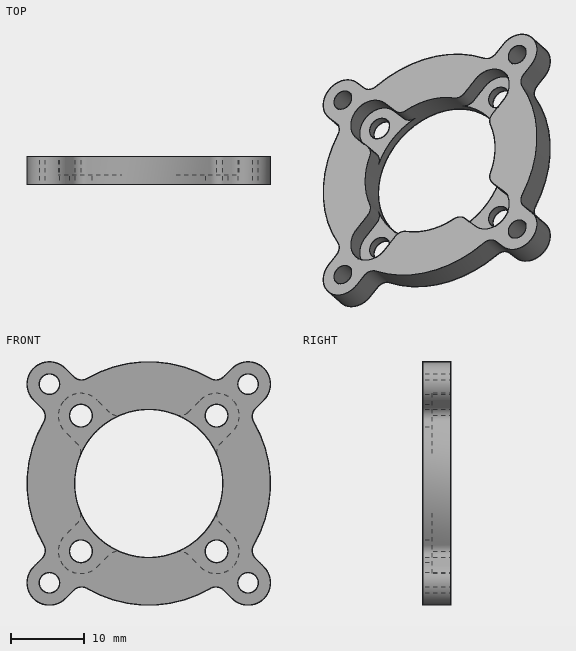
import cadquery as cq
import math

thickness = 3.81
outer_radius = 16.51
bore_radius = 10.03
lug_radius = 3.048
lug_fillet = 1.524
lug_hole_diameter = 2.74
inner_hole_diameter = 3.048
inner_hole_distance = 13.0
pocket_radius = 3.048
pocket_fillet = 1.524
web_thickness = 1.27

lug_distance = math.sqrt(2) * (outer_radius - lug_radius)
front_y = -thickness / 2
pocket_depth = thickness - web_thickness
diagonal_angles = [45, 135, 225, 315]


def extrude_from_front(profile, start, length):
    """Extrude a profile toward +Y, starting at a distance behind the front face."""
    return profile.extrude(-length).translate((0, front_y + start, 0))


def disc(radius, start, length, distance=0.0):
    """Cylinder along Y, centred on the +X axis at a distance from the bore axis."""
    return extrude_from_front(cq.Workplane("XZ").center(distance, 0).circle(radius), start, length)


def rounded_arm(arm_radius, end_distance, base_radius, fillet, start, length):
    """Round-ended arm along +X whose sides blend into a base circle with concave fillets."""
    fillet_offset = arm_radius + fillet
    fillet_distance = base_radius + fillet
    side_start = math.sqrt(fillet_distance**2 - fillet_offset**2)
    base_ratio = base_radius / fillet_distance
    base_point = (side_start * base_ratio, fillet_offset * base_ratio)
    base_end_angle = math.pi + math.atan2(fillet_offset, side_start)
    side_end_angle = 1.5 * math.pi
    middle_angle = (base_end_angle + side_end_angle) / 2
    fillet_middle = (
        side_start + fillet * math.cos(middle_angle),
        fillet_offset + fillet * math.sin(middle_angle),
    )
    profile = (
        cq.Workplane("XZ")
        .lineTo(*base_point)
        .threePointArc(fillet_middle, (side_start, arm_radius))
        .lineTo(end_distance, arm_radius)
        .threePointArc((end_distance + arm_radius, 0), (end_distance, -arm_radius))
        .lineTo(side_start, -arm_radius)
        .threePointArc((fillet_middle[0], -fillet_middle[1]), (base_point[0], -base_point[1]))
        .close()
    )
    return extrude_from_front(profile, start, length)


def on_diagonal(shape, angle):
    """Turn a shape from the +X axis onto a diagonal of the plate."""
    return shape.rotate((0, 0, 0), (0, 1, 0), angle)


lug = rounded_arm(lug_radius, lug_distance, outer_radius, lug_fillet, 0, thickness)
pocket = rounded_arm(
    pocket_radius, inner_hole_distance, bore_radius, pocket_fillet, web_thickness, pocket_depth
)
lug_hole = disc(lug_hole_diameter / 2, 0, thickness, lug_distance)
inner_hole = disc(inner_hole_diameter / 2, 0, thickness, inner_hole_distance)

result = disc(outer_radius, 0, thickness)
for angle in diagonal_angles:
    result = result.union(on_diagonal(lug, angle))

result = result.cut(disc(bore_radius, 0, thickness))
for angle in diagonal_angles:
    for cutter in (pocket, lug_hole, inner_hole):
        result = result.cut(on_diagonal(cutter, angle))